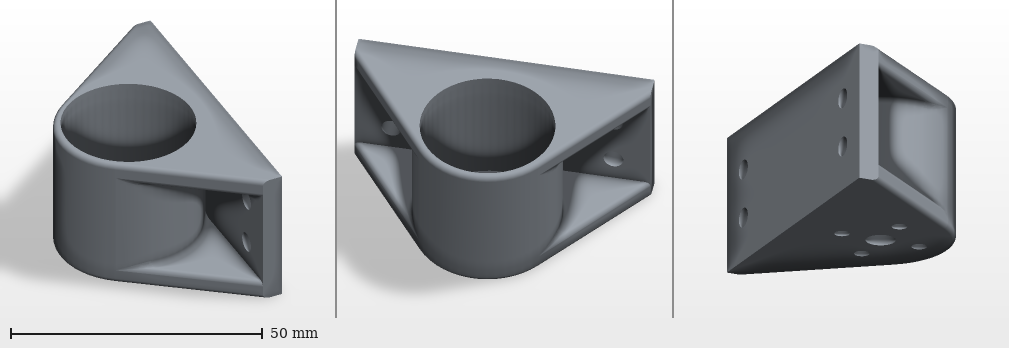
import cadquery as cq
import math

width = 60.0
depth = 34.4
height = 28.5
plate_thickness = 4.2
flange_thickness = 4.0
edge_radius = 1.0
web_tangent_y = -6.5
tip_setback = 0.3

housing_radius = 15.0
housing_y = housing_radius - depth
bore_radius = 13.5
floor_thickness = 3.0

shaft_hole_diameter = 6.0
shaft_recess_diameter = 8.0
shaft_recess_depth = 1.0
motor_hole_diameter = 3.1
motor_hole_offset = 8.5

mount_hole_diameter = 4.0
mount_spacing_x = 45.0
mount_spacing_z = 10.2

corner_x = width / 2
corner_rise = -plate_thickness - housing_y
normal_angle = math.atan2(corner_rise, corner_x) - math.acos(
    housing_radius / math.hypot(corner_x, corner_rise)
)
tangent_x = housing_radius * math.cos(normal_angle)
tangent_y = housing_y + housing_radius * math.sin(normal_angle)


def make_body():
    """Solid block with a flat back, slanted sides and rounded rims."""
    body = (
        cq.Workplane("XY")
        .moveTo(-corner_x, 0)
        .lineTo(corner_x, 0)
        .lineTo(corner_x, -plate_thickness)
        .lineTo(tangent_x, tangent_y)
        .threePointArc((0, -depth), (-tangent_x, tangent_y))
        .lineTo(-corner_x, -plate_thickness)
        .close()
        .extrude(height)
    )
    rims = body.faces("<Z or >Z").edges(
        cq.selectors.BoxSelector(
            (-width, -plate_thickness - edge_radius, -0.6),
            (width, -2 * depth, height + 0.6),
        )
    )
    return rims.fillet(edge_radius)


def housing_cylinder():
    """Outside of the round housing over the full height."""
    return cq.Workplane("XY").center(0, housing_y).circle(housing_radius).extrude(height)


def make_flared_channel():
    """Channel square to the right slanted side, widening where it leaves the flanges."""
    side_plane = cq.Plane(
        origin=(0, housing_y, height / 2),
        xDir=(math.cos(normal_angle), math.sin(normal_angle), 0),
        normal=(math.sin(normal_angle), -math.cos(normal_angle), 0),
    )
    half_gap = height / 2 - flange_thickness
    flare_start = housing_radius - edge_radius
    flare_mid_x = flare_start + edge_radius * math.sin(math.pi / 4)
    flare_mid_z = half_gap + edge_radius * (1 - math.cos(math.pi / 4))
    mouth_x = 2 * housing_radius
    return (
        cq.Workplane(side_plane)
        .moveTo(-mouth_x, -half_gap)
        .lineTo(flare_start, -half_gap)
        .threePointArc((flare_mid_x, -flare_mid_z), (housing_radius, -half_gap - edge_radius))
        .lineTo(housing_radius, -height / 2)
        .lineTo(mouth_x, -height / 2)
        .lineTo(mouth_x, height / 2)
        .lineTo(housing_radius, height / 2)
        .lineTo(housing_radius, half_gap + edge_radius)
        .threePointArc((flare_mid_x, flare_mid_z), (flare_start, half_gap))
        .lineTo(-mouth_x, half_gap)
        .close()
        .extrude(width, both=True)
    )


def make_wall_web():
    """Web with flat sides that run tangentially from the housing to the back plate."""
    tangent_rise = web_tangent_y - housing_y
    web_x = math.sqrt(housing_radius**2 - tangent_rise**2)
    plate_x = web_x - (-plate_thickness - web_tangent_y) * tangent_rise / web_x
    return (
        cq.Workplane("XY")
        .moveTo(0, 0)
        .lineTo(plate_x, 0)
        .lineTo(plate_x, -plate_thickness)
        .lineTo(web_x, web_tangent_y)
        .lineTo(0, housing_y)
        .close()
        .extrude(height)
    )


def is_housing_seam(edge):
    """True for an edge where a flange meets the housing surface."""
    on_housing = all(
        abs(math.hypot(point.x, point.y - housing_y) - housing_radius) < 0.0005
        for point in edge.positions([0.1, 0.5, 0.9])
    )
    middle_offset = abs(edge.positionAt(0.5).z - height / 2)
    gap_offset = height / 2 - flange_thickness
    return on_housing and gap_offset - 0.05 < middle_offset < gap_offset + edge_radius


def make_side_pocket():
    """Open space on the right, between the flanges, the plate and the housing."""
    front_y = tangent_y + tip_setback
    limits = (
        cq.Workplane("XY")
        .moveTo(0, -plate_thickness)
        .lineTo(width, -plate_thickness)
        .lineTo(width, front_y)
        .lineTo(0, front_y)
        .close()
        .extrude(height)
    )
    pocket = make_flared_channel().intersect(limits).cut(housing_cylinder()).cut(make_wall_web())
    seams = [edge for edge in pocket.edges().vals() if is_housing_seam(edge)]
    return pocket.newObject(seams).fillet(edge_radius)


def pin(diameter, x, y, bottom, top):
    """Vertical cylinder between two heights."""
    return cq.Workplane("XY", origin=(x, y, bottom)).circle(diameter / 2).extrude(top - bottom)


def cut_housing_holes(body):
    """Bore the housing from above and drill the holes through its floor."""
    recess_bottom = floor_thickness - shaft_recess_depth
    body = body.cut(pin(2 * bore_radius, 0, housing_y, floor_thickness, height))
    body = body.cut(pin(shaft_recess_diameter, 0, housing_y, recess_bottom, floor_thickness))
    body = body.cut(pin(shaft_hole_diameter, 0, housing_y, 0, recess_bottom))
    for quarter in range(4):
        angle = quarter * math.pi / 2
        x = motor_hole_offset * math.cos(angle)
        y = housing_y + motor_hole_offset * math.sin(angle)
        body = body.cut(pin(motor_hole_diameter, x, y, 0, floor_thickness))
    return body


def make_mount_holes():
    """Four pins that pierce the back plate."""
    return (
        cq.Workplane("XZ", origin=(0, 0, height / 2))
        .rarray(mount_spacing_x, mount_spacing_z, 2, 2)
        .circle(mount_hole_diameter / 2)
        .extrude(plate_thickness)
    )


side_pocket = make_side_pocket()
bracket = make_body().cut(side_pocket).cut(side_pocket.mirror("YZ"))
result = cut_housing_holes(bracket).cut(make_mount_holes())